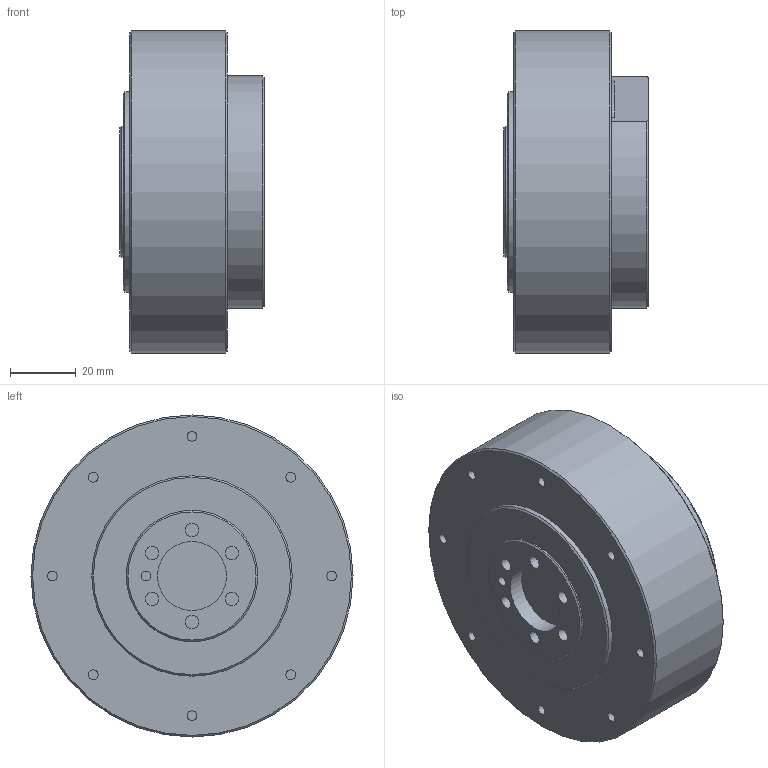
import cadquery as cq


HUB_FACE_X = 0.0
COLLAR_FACE_X = 1.0
BODY_FACE_X = 3.0
BODY_BACK_X = 32.7
REGISTER_BACK_X = 33.7
BOSS_BACK_X = 43.9

HUB_DIAMETER = 40.0
COLLAR_DIAMETER = 61.0
BODY_DIAMETER = 98.0
REGISTER_DIAMETER = 68.0
BOSS_DIAMETER = 70.8

EDGE_CHAMFER = 0.5

FLAT_DISTANCE = 31.0
FLAT_ANGLE = 66.0

BORE_DIAMETER = 21.0
BORE_DEPTH = 5.0
HUB_HOLE_COUNT = 6
HUB_HOLE_DIAMETER = 4.0
HUB_HOLE_CIRCLE_RADIUS = 14.0
HUB_HOLE_DEPTH = 6.0
HUB_HOLE_START_ANGLE = 90.0
PIN_HOLE_DIAMETER = 3.0
PIN_HOLE_DEPTH = 6.0
PIN_HOLE_ANGLE = 0.0
BODY_HOLE_COUNT = 8
BODY_HOLE_DIAMETER = 3.0
BODY_HOLE_CIRCLE_RADIUS = 42.5
BODY_HOLE_DEPTH = 6.0
BODY_HOLE_START_ANGLE = 0.0


def disc(diameter, start_x, end_x):
    """Solid cylinder on the X axis between two axial positions."""
    return cq.Workplane("YZ", origin=(start_x, 0, 0)).circle(diameter / 2).extrude(end_x - start_x)


def make_front():
    """Hub, collar and main body, each with its exposed edges chamfered."""
    hub = disc(HUB_DIAMETER, HUB_FACE_X, BODY_FACE_X).faces("<X").chamfer(EDGE_CHAMFER)
    collar = disc(COLLAR_DIAMETER, COLLAR_FACE_X, BODY_BACK_X).faces("<X").chamfer(EDGE_CHAMFER)
    body = disc(BODY_DIAMETER, BODY_FACE_X, BODY_BACK_X).faces("<X or >X").chamfer(EDGE_CHAMFER)
    return body.union(collar).union(hub)


def make_boss():
    """Rear boss with one flat, standing over a thin full-round register."""
    boss = disc(BOSS_DIAMETER, BODY_BACK_X, BOSS_BACK_X).faces(">X").chamfer(EDGE_CHAMFER)
    length = BOSS_BACK_X - BODY_BACK_X
    flat_cutter = (
        cq.Workplane("XY")
        .box(length, BOSS_DIAMETER, BOSS_DIAMETER, centered=(False, True, False))
        .translate((BODY_BACK_X, 0, FLAT_DISTANCE))
        .rotate((0, 0, 0), (1, 0, 0), -FLAT_ANGLE)
    )
    register = disc(REGISTER_DIAMETER, BODY_BACK_X, REGISTER_BACK_X)
    return boss.cut(flat_cutter).union(register)


def hole_circle(face_x, radius, count, start_angle, diameter, depth):
    """Cutters for blind holes evenly spaced around the X axis."""
    return (
        cq.Workplane("YZ", origin=(face_x, 0, 0))
        .polarArray(radius, start_angle, 360, count)
        .circle(diameter / 2)
        .extrude(depth)
    )


def make_holes():
    """Central bore, hub bolt circle with one pin hole, and body bolt circle."""
    bore = disc(BORE_DIAMETER, HUB_FACE_X, HUB_FACE_X + BORE_DEPTH)
    hub_holes = hole_circle(
        HUB_FACE_X,
        HUB_HOLE_CIRCLE_RADIUS,
        HUB_HOLE_COUNT,
        HUB_HOLE_START_ANGLE,
        HUB_HOLE_DIAMETER,
        HUB_HOLE_DEPTH,
    )
    pin_hole = hole_circle(
        HUB_FACE_X,
        HUB_HOLE_CIRCLE_RADIUS,
        1,
        PIN_HOLE_ANGLE,
        PIN_HOLE_DIAMETER,
        PIN_HOLE_DEPTH,
    )
    body_holes = hole_circle(
        BODY_FACE_X,
        BODY_HOLE_CIRCLE_RADIUS,
        BODY_HOLE_COUNT,
        BODY_HOLE_START_ANGLE,
        BODY_HOLE_DIAMETER,
        BODY_HOLE_DEPTH,
    )
    return bore.union(hub_holes).union(pin_hole).union(body_holes)


result = make_front().union(make_boss()).cut(make_holes())